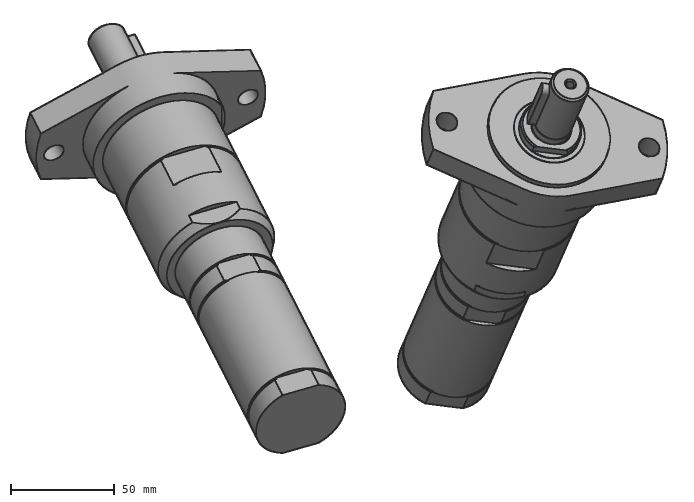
import cadquery as cq
import math


shaft_diameter = 18.7
seat_diameter = 19.0
seat_start = 35.8
tip_chamfer = 1.0
center_hole_diameter = 4.0
center_hole_mouth = 5.5
center_hole_depth = 8.0
drill_half_angle = math.radians(60)

key_start = 4.7
key_length = 32.3
key_width = 6.0
key_top = 12.5

nut_start = 39.5
nut_diameter = 30.0
nut_across_flats = 24.7
nut_chamfer = 0.8
shaft_bore_diameter = 20.0
shaft_bore_depth = 0.8
recess_diameter = 35.0
recess_depth = 0.5

pilot_start = 43.7
body_diameter = 60.0
flange_start = 46.5
flange_thickness = 14.5
flange_span = 118.0
flange_taper = math.radians(20)
hub_diameter = 70.0
hub_end = 74.7
hub_flat_start = 69.2
hub_flat_height = 31.3
bolt_spacing = 100.0
bolt_hole_diameter = 10.3

body_flat_start = 105.5
body_flat_end = 123.5
rear_flat_start = 144.5
body_end = 153.9
body_across_flats = 54.7
shoulder_length = 4.7
shoulder_angle = math.radians(30)

tube_diameter = 46.0
tube_end = 263.0
tube_flat_start = 172.8
tube_flat_end = 185.2
end_flat_start = 251.5
tube_across_flats = 42.0

groove_width = 0.8
groove_depth = 0.4


def cylinder(diameter, start, end):
    """Cylinder on the X axis from start to end."""
    return cq.Workplane("YZ", origin=(start, 0, 0)).circle(diameter / 2).extrude(end - start)


def flats(diameter, across, start, end):
    """Material outside two flats facing +Z and -Z."""
    length = end - start
    slabs = cq.Workplane("YZ", origin=(start, 0, 0))
    slab_center = (across + diameter) / 2
    slabs = slabs.pushPoints([(0, slab_center), (0, -slab_center)])
    return slabs.rect(2 * diameter, diameter).extrude(length)


def ring_groove(diameter, start):
    """Shallow ring cut from the surface of a round section."""
    outer = cylinder(diameter, start, start + groove_width)
    return outer.cut(cylinder(diameter - 2 * groove_depth, start, start + groove_width))


def make_shaft():
    tip = cylinder(shaft_diameter, 0, seat_start).faces("<X").chamfer(tip_chamfer)
    shaft = tip.union(cylinder(seat_diameter, seat_start, flange_start))
    key = (
        cq.Workplane("XZ", origin=(key_start + key_length / 2, 0, 0))
        .slot2D(key_length, key_width)
        .extrude(-key_top)
    )
    return shaft.union(key)


def center_hole():
    """Drilled hole with a countersunk mouth and a conical bottom."""
    radius = center_hole_diameter / 2
    mouth_radius = center_hole_mouth / 2
    cone_length = radius / math.tan(drill_half_angle)
    return (
        cq.Workplane("XY")
        .lineTo(0, mouth_radius)
        .lineTo(mouth_radius - radius, radius)
        .lineTo(center_hole_depth, radius)
        .lineTo(center_hole_depth + cone_length, 0)
        .close()
        .revolve(360, (0, 0, 0), (1, 0, 0))
    )


def make_nut():
    nut = cylinder(nut_diameter, nut_start, flange_start).faces("<X").chamfer(nut_chamfer)
    nut = nut.cut(cylinder(shaft_bore_diameter, nut_start, nut_start + shaft_bore_depth))
    return nut.cut(flats(nut_diameter, nut_across_flats, nut_start, pilot_start))


def make_flange():
    """Plate with round ends, tapering along lines tangent to the hub circle."""
    hub_radius = hub_diameter / 2
    end_radius = flange_span / 2
    tangent_y = hub_radius * math.sin(flange_taper)
    tangent_z = hub_radius * math.cos(flange_taper)
    corner_angle = math.pi / 2 - flange_taper - math.acos(hub_radius / end_radius)
    corner_y = end_radius * math.cos(corner_angle)
    corner_z = end_radius * math.sin(corner_angle)
    plate = (
        cq.Workplane("YZ", origin=(flange_start, 0, 0))
        .moveTo(corner_y, -corner_z)
        .threePointArc((end_radius, 0), (corner_y, corner_z))
        .lineTo(tangent_y, tangent_z)
        .threePointArc((0, hub_radius), (-tangent_y, tangent_z))
        .lineTo(-corner_y, corner_z)
        .threePointArc((-end_radius, 0), (-corner_y, -corner_z))
        .lineTo(-tangent_y, -tangent_z)
        .threePointArc((0, -hub_radius), (tangent_y, -tangent_z))
        .close()
        .extrude(flange_thickness)
    )
    holes = (
        cq.Workplane("YZ", origin=(flange_start, 0, 0))
        .pushPoints([(-bolt_spacing / 2, 0), (bolt_spacing / 2, 0)])
        .circle(bolt_hole_diameter / 2)
        .extrude(flange_thickness)
    )
    return plate.cut(holes)


def make_hub():
    """Round hub with one flat at its rear end, facing +Y."""
    hub = cylinder(hub_diameter, flange_start, hub_end)
    flat = cq.Workplane("XY").box(
        hub_end - hub_flat_start, hub_diameter, 2 * hub_diameter, centered=(False, False, True)
    )
    return hub.cut(flat.translate((hub_flat_start, hub_flat_height, 0)))


def make_body():
    """Gear housing with a chamfered rear shoulder and two pairs of flats."""
    radius = body_diameter / 2
    shoulder_drop = shoulder_length * math.tan(shoulder_angle)
    body = (
        cq.Workplane("XY")
        .moveTo(pilot_start, 0)
        .lineTo(pilot_start, radius)
        .lineTo(body_end - shoulder_length, radius)
        .lineTo(body_end, radius - shoulder_drop)
        .lineTo(body_end, 0)
        .close()
        .revolve(360, (0, 0, 0), (1, 0, 0))
    )
    for start, end in ((body_flat_start, body_flat_end), (rear_flat_start, body_end)):
        body = body.cut(flats(body_diameter, body_across_flats, start, end))
    body = body.cut(ring_groove(body_diameter, body_flat_start))
    return body.cut(cylinder(recess_diameter, pilot_start, pilot_start + recess_depth))


def make_tube():
    tube = cylinder(tube_diameter, body_end, tube_end)
    for start, end in ((tube_flat_start, tube_flat_end), (end_flat_start, tube_end)):
        tube = tube.cut(flats(tube_diameter, tube_across_flats, start, end))
    for start in (tube_flat_start, tube_flat_end - groove_width, end_flat_start):
        tube = tube.cut(ring_groove(tube_diameter, start))
    return tube


result = make_body()
for section in (make_hub(), make_flange(), make_tube(), make_nut(), make_shaft()):
    result = result.union(section)
result = result.cut(center_hole())